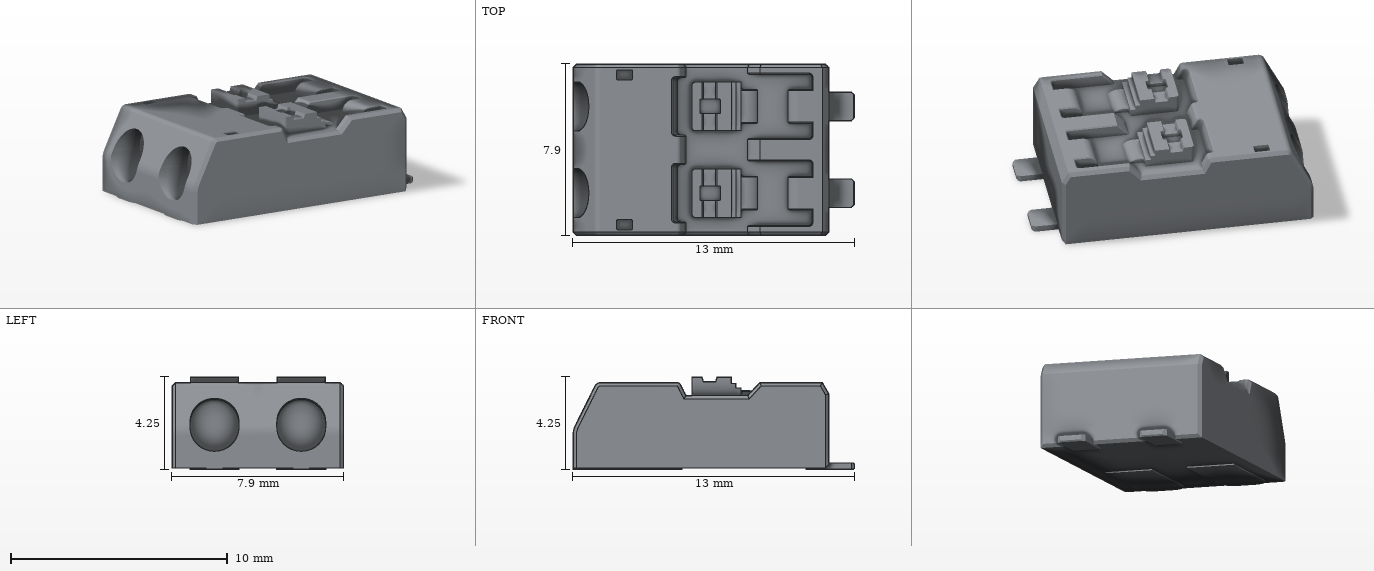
import cadquery as cq

body_length = 11.8
body_width = 7.9
body_bottom = 0.05
body_top = 4.0
side_chamfer = 0.15

entry_edge_z = 1.81
entry_top_x = 1.09
entry_lower_radius = 1.0
entry_upper_radius = 0.3
rear_slope_length = 0.3
rear_slope_height = 0.52

pole_pitch = 4.0
pole_centers = (-pole_pitch / 2, pole_pitch / 2)

deck_z = 3.4
deck_start = 5.21
deck_end = 8.06
deck_depth = body_top - deck_z
front_slope_run = 0.3
rear_slope_run = 0.56
deck_edge_radius = 0.2

front_recess_width = 2.65
front_recess_reach = 0.39
front_recess_slope_run = 0.23
rear_recess_width = 2.96
rear_recess_end = 11.02
recess_radius = 0.15
rim_chamfer = 0.05

tongue_start = 9.93
tongue_width = 1.56
tongue_radius = 0.5

bore_diameter = 2.26
bore_axis_z = 1.96
bore_depth = 1.62
mouth_stretch = 0.23
end_stretch = 0.12

pocket_x = 2.38
pocket_y = 3.46
pocket_length = 0.73
pocket_width = 0.47
pocket_radius = 0.06

lever_start = 5.49
lever_width = 2.24
lever_top = 4.25
lever_corner_radius = 0.15
step_ends = (7.3, 7.51, 7.76)
step_heights = (lever_top, 3.96, 3.76)
groove_z = 4.04
groove_top_start = 5.95
groove_top_end = 6.64
groove_slope_run = 0.06
socket_start = 5.85
socket_end = 6.81
socket_width = 0.68
socket_floor = 3.86
socket_radius = 0.08
wedge_width = 1.56
wedge_top = 3.64
wedge_flat_end = 8.03
wedge_end = 8.52
wedge_fillet = 0.1
wedge_chamfer = 0.04

pin_start = 10.75
pin_end = 13.0
pin_width = 1.33
pin_height = 0.3
pin_tip_chamfer = 0.15
pin_tip_bevel = 0.06
foot_length = 5.02
foot_width = 2.26
foot_corner_radius = 0.74

overlap = 0.13
pick_margin = 0.01


def extrude_along_y(points, width, center_y=0.0):
    """Prism with an XZ outline, centred on center_y."""
    plane = cq.Workplane("XZ", origin=(0, center_y, 0))
    return plane.polyline(points).close().extrude(width / 2, both=True)


def edges_near(x, z):
    """Selector for edges along Y that pass through (x, z)."""
    low = (x - pick_margin, -body_width, z - pick_margin)
    high = (x + pick_margin, body_width, z + pick_margin)
    return cq.selectors.BoxSelector(low, high)


def make_body():
    deck_front_top = deck_start - front_slope_run
    outline = [
        (0, body_bottom),
        (0, entry_edge_z),
        (entry_top_x, body_top),
        (deck_front_top, body_top),
        (deck_start, deck_z),
        (deck_end, deck_z),
        (deck_end + rear_slope_run, body_top),
        (body_length - rear_slope_length, body_top),
        (body_length, body_top - rear_slope_height),
        (body_length, body_bottom),
    ]
    body = extrude_along_y(outline, body_width)
    body = body.edges(edges_near(0, entry_edge_z)).fillet(entry_lower_radius)
    body = body.edges(edges_near(entry_top_x, body_top)).fillet(entry_upper_radius)
    body = body.edges(edges_near(deck_front_top, body_top)).fillet(deck_edge_radius)
    side_edges = cq.selectors.BoxSelector(
        (-pick_margin, -body_width, body_bottom + pick_margin),
        (body_length + pick_margin, body_width, body_top + pick_margin),
    )
    body = body.faces("<Y or >Y").edges(side_edges).chamfer(side_chamfer)
    return body.faces("<Z").edges(">X").chamfer(side_chamfer)


def make_front_recess(center_y):
    start = deck_start - front_recess_reach
    outline = [
        (start - front_recess_slope_run, body_top),
        (start, deck_z),
        (deck_start + overlap, deck_z),
        (deck_start + overlap, body_top),
    ]
    recess = extrude_along_y(outline, front_recess_width, center_y)
    return recess.faces("<X").edges("not |Y").fillet(recess_radius)


def make_rear_recess(center_y):
    length = rear_recess_end - deck_end
    recess = (
        cq.Workplane("XY", origin=(deck_end + length / 2, center_y, deck_z))
        .rect(length, rear_recess_width)
        .extrude(deck_depth)
        .edges("|Z and >X")
        .fillet(recess_radius)
    )
    tongue_length = rear_recess_end - tongue_start + overlap
    tongue = (
        cq.Workplane("XY", origin=(tongue_start + tongue_length / 2, center_y, deck_z))
        .rect(tongue_length, tongue_width)
        .extrude(deck_depth)
        .edges("<X and >Z")
        .fillet(tongue_radius)
    )
    return recess.cut(tongue)


def make_bore(center_y):
    def stadium(x, stretch):
        middle = bore_axis_z + stretch / 2
        plane = cq.Workplane("YZ", origin=(x, center_y, middle))
        return plane.slot2D(bore_diameter + stretch, bore_diameter, 90).wires().val()

    sections = [stadium(0, mouth_stretch), stadium(bore_depth, end_stretch)]
    return cq.Workplane(cq.Solid.makeLoft(sections, True))


def make_top_pockets():
    return (
        cq.Workplane("XY", origin=(pocket_x, 0, deck_z))
        .pushPoints([(0, -pocket_y), (0, pocket_y)])
        .rect(pocket_length, pocket_width)
        .extrude(deck_depth)
        .edges("|Z")
        .fillet(pocket_radius)
    )


def make_lever(center_y):
    outline = [
        (lever_start, deck_z),
        (lever_start, lever_top),
        (groove_top_start, lever_top),
        (groove_top_start + groove_slope_run, groove_z),
        (groove_top_end - groove_slope_run, groove_z),
        (groove_top_end, lever_top),
    ]
    for index, end in enumerate(step_ends):
        below = step_heights[index + 1] if index + 1 < len(step_heights) else deck_z
        outline += [(end, step_heights[index]), (end, below)]
    lever = extrude_along_y(outline, lever_width, center_y)
    lever = lever.edges("|Z and <X").fillet(lever_corner_radius)

    lever_end = step_ends[-1]
    wedge = (
        cq.Workplane("XZ", origin=(0, center_y, 0))
        .moveTo(lever_end - overlap, deck_z)
        .lineTo(lever_end - overlap, wedge_top)
        .lineTo(wedge_flat_end, wedge_top)
        .tangentArcPoint((wedge_end, deck_z), relative=False)
        .close()
        .extrude(wedge_width / 2, both=True)
        .faces("<Y or >Y")
        .edges(">Z")
        .chamfer(wedge_chamfer)
    )
    lever = lever.union(wedge)
    half_wedge = wedge_width / 2
    joint = cq.selectors.BoxSelector(
        (lever_end - pick_margin, center_y - half_wedge - pick_margin, deck_z),
        (lever_end + pick_margin, center_y + half_wedge + pick_margin, wedge_top),
    )
    lever = lever.edges(joint).edges("|Z").fillet(wedge_fillet)

    socket = (
        cq.Workplane("XY", origin=((socket_start + socket_end) / 2, center_y, socket_floor))
        .rect(socket_end - socket_start, socket_width)
        .extrude(lever_top - socket_floor)
        .edges("|Z")
        .fillet(socket_radius)
    )
    return lever.cut(socket)


def make_pin(center_y):
    length = pin_end - pin_start
    pin = (
        cq.Workplane("XY", origin=(pin_start + length / 2, center_y, 0))
        .rect(length, pin_width)
        .extrude(pin_height)
    )
    pin = pin.edges("|Z and >X").chamfer(pin_tip_chamfer)
    return pin.faces(">X").edges("|Y").chamfer(pin_tip_bevel)


def make_foot(center_y):
    return (
        cq.Workplane("XY", origin=(foot_length / 2, center_y, 0))
        .rect(foot_length, foot_width)
        .extrude(body_bottom)
        .edges("|Z and <X")
        .fillet(foot_corner_radius)
    )


def bevel_recess_rims(body, center_y):
    """Bevel the upper edges of both recesses and of the tongue; bevels run on around smooth corners."""

    def rim_edges(start, end, width, low_z):
        half_span = width / 2 + pick_margin
        low = (start, center_y - half_span, low_z)
        high = (end, center_y + half_span, body_top + pick_margin)
        in_upright_planes = cq.selectors.PerpendicularDirSelector(cq.Vector(0, 1, 0))
        upright = cq.selectors.ParallelDirSelector(cq.Vector(0, 0, 1))
        not_upright = cq.selectors.InverseSelector(upright)
        return cq.selectors.BoxSelector(low, high) & in_upright_planes & not_upright

    rear_rim = rim_edges(deck_end, rear_recess_end, rear_recess_width, deck_z + rim_chamfer)
    top_only = body_top - pick_margin
    front_rim = rim_edges(pocket_x + pocket_length, deck_start, front_recess_width, top_only)
    body = body.edges(rear_rim).chamfer(rim_chamfer)
    return body.edges(front_rim).chamfer(rim_chamfer)


result = make_body().cut(make_top_pockets())
for pole_y in pole_centers:
    result = result.cut(make_front_recess(pole_y))
    result = result.cut(make_rear_recess(pole_y))
    result = result.cut(make_bore(pole_y))
    result = bevel_recess_rims(result, pole_y)
for pole_y in pole_centers:
    result = result.union(make_lever(pole_y))
    result = result.union(make_pin(pole_y))
    result = result.union(make_foot(pole_y))